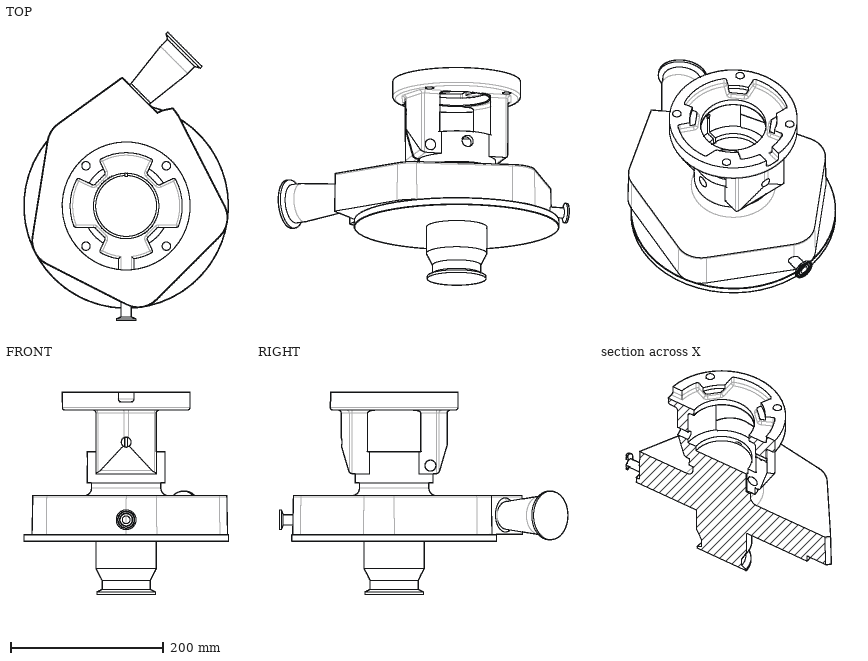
import cadquery as cq
import math


inlet_neck_top = 18.4
inlet_cone_top = 34.2
plate_bottom = 69.5
plate_top = 79.0
housing_top = 130.0
collar_bottom = 146.5
leg_bottom = 158.3
collar_top = 187.7
flange_bottom = 242.0
flange_top = 265.5

ferrule_rim = 3.4
ferrule_height = 6.9
inlet_ferrule_radius = 38.6
inlet_neck_radius = 31.75
inlet_pipe_radius = 39.8

plate_radius = 134.545
plate_chamfer = 0.7
housing_apothem = 114.6
housing_corner_radius = 34.0
housing_rim = 2.0
housing_draft = 1.1
outlet_angle = 45.0
pentagon_step = 72.0
apex_y = 167.8
apex_wall_angle = 215.8
wall_bend_start = (73.0, 108.4)
wall_bend_middle = (67.5, 119.0)
nose_tip = (61.0, 127.6)
notch_shoulder = (47.5, 124.8)
notch_x = 41.0

outlet_offset = 90.9
outlet_face = 115.0
outlet_seat_sink = 10.0
outlet_cone_start = 118.3
outlet_cone_end = 180.0
outlet_end = 199.9
outlet_ferrule_radius = 32.0
outlet_pipe_radius = 25.4
outlet_base_radius = 18.3
outlet_base_half_height = 23.0
outlet_z = 103.8

drain_z = 98.1
drain_end = 150.57
drain_depth = 35.0
drain_pipe_radius = 6.9
drain_bore_radius = 5.1
drain_ferrule_radius = 13.0
drain_rim = 2.5
drain_ferrule_height = 5.0
drain_groove_inner = 8.0
drain_groove_outer = 11.2
drain_groove_depth = 1.2

neck_radius = 45.7
neck_fillet = 9.5
collar_radius = 51.3
collar_bore_radius = 40.0
collar_bore_depth = 8.0
collar_hole_diameter = 15.0
collar_hole_z = 174.5
collar_hole_depth = 10.0

leg_half_width = 39.7
leg_inner_radius = 52.8
leg_nose_y = 69.7
leg_nose_half_width = 2.85
leg_side_y = 58.1
leg_slope_top = 196.0
leg_slope_depth = 9.1
leg_slope_drop = 31.0
leg_edge_fillet = 3.5
leg_bottom_fillet = 6.0
leg_root_fillet = 4.0
leg_root_start = 30.0
leg_root_band = 0.5
leg_hole_diameter = 12.9
leg_hole_z = 200.0
clamp_hole_diameter = 14.2
clamp_hole_y = 47.6
clamp_hole_z = 169.2
clamp_slit_width = 3.2
slit_overlap = 1.0
clamp_slit_top = 217.0
slit_end_hole_diameter = 5.0
slit_end_hole_z = 221.5

flange_radius = 84.0
flange_fillet = 3.5
flange_bore_radius = 43.0
flange_bore_chamfer = 1.2
bolt_hole_diameter = 11.0
bolt_circle_radius = 74.6
pocket_depth = 12.5
pocket_fillet = 3.3
pocket_radius = 70.0
side_pocket_radius = 73.6
slot_width = 20.3
spigot_radius = 57.3
spigot_depth = 6.0
lug_tip = 49.1
lug_tip_half_width = 10.9
lug_flare = math.tan(math.radians(20.0))
lug_reach = 80.0
lower_lug_edge_y = -28.0
lug_corner_fillet = 3.0


def disc(radius, bottom, top):
    return cq.Workplane("XY").workplane(offset=bottom).circle(radius).extrude(top - bottom)


def revolve_profile(points):
    """Solid of revolution about the local Z axis from (radius, height) points."""
    return cq.Workplane("XZ").polyline(points).close().revolve(360, (0, 0), (0, 1))


def make_inlet():
    return revolve_profile([
        (0, 0),
        (inlet_ferrule_radius, 0),
        (inlet_ferrule_radius, ferrule_rim),
        (inlet_neck_radius, ferrule_height),
        (inlet_neck_radius, inlet_neck_top),
        (inlet_pipe_radius, inlet_cone_top),
        (inlet_pipe_radius, plate_bottom),
        (0, plate_bottom),
    ])


def make_plate():
    return disc(plate_radius, plate_bottom, plate_top).edges("%CIRCLE").chamfer(plate_chamfer)


def pentagon_corner(direction):
    """Corner of the regular pentagon that four of the housing walls follow."""
    distance = housing_apothem / math.cos(math.radians(pentagon_step / 2))
    angle = math.radians(direction)
    return (distance * math.cos(angle), distance * math.sin(angle))


def make_housing_rim():
    """Straight top band of the housing with sharp corners, and the corners to round."""
    right = pentagon_corner(-outlet_angle + pentagon_step / 2)
    front = pentagon_corner(-outlet_angle - pentagon_step / 2)
    left = pentagon_corner(-outlet_angle - 1.5 * pentagon_step)

    face_sum = outlet_face * math.sqrt(2)
    apex = (face_sum - apex_y, apex_y)
    notch = (notch_x, face_sum - notch_x)

    left_normal = math.radians(-outlet_angle - 2 * pentagon_step)
    wall = math.radians(apex_wall_angle)
    apex_level = apex[0] * math.cos(left_normal) + apex[1] * math.sin(left_normal)
    travel = (housing_apothem - apex_level) / math.cos(wall - left_normal)
    back = (apex[0] + travel * math.cos(wall), apex[1] + travel * math.sin(wall))

    rim = (
        cq.Workplane("XY").workplane(offset=housing_top)
        .moveTo(*apex)
        .lineTo(*back)
        .lineTo(*left)
        .lineTo(*front)
        .lineTo(*right)
        .lineTo(*wall_bend_start)
        .threePointArc(wall_bend_middle, nose_tip)
        .lineTo(*notch_shoulder)
        .lineTo(*notch)
        .close()
        .extrude(-housing_rim)
    )
    return rim, [back, left, front, right]


def make_housing():
    """Straight rim at the top, with drafted walls widening down to the plate."""
    rim, corners = make_housing_rim()
    for x, y in corners:
        corner = cq.selectors.NearestToPointSelector((x, y, housing_top - housing_rim / 2))
        rim = rim.edges("|Z").edges(corner).fillet(housing_corner_radius)
    wall_height = housing_top - housing_rim - plate_top
    walls = rim.faces("<Z").wires().toPending().workplane().extrude(
        wall_height, taper=-housing_draft, combine=False)
    return rim.union(walls)


def make_outlet():
    """Oval-to-round nozzle on the sloping outlet face, ending in a clamp ferrule."""
    angle = math.radians(outlet_angle)
    along = (math.cos(angle), math.sin(angle))
    across = (-math.sin(angle), math.cos(angle))

    def section(distance):
        origin = (
            distance * along[0] + outlet_offset * across[0],
            distance * along[1] + outlet_offset * across[1],
            outlet_z,
        )
        return cq.Workplane(cq.Plane(origin, xDir=(*across, 0), normal=(*along, 0)))

    seat = section(outlet_face - outlet_seat_sink)
    seat = seat.ellipse(outlet_base_radius, outlet_base_half_height).extrude(outlet_seat_sink)
    base = (
        section(outlet_face).ellipse(outlet_base_radius, outlet_base_half_height)
        .workplane(offset=outlet_cone_start - outlet_face)
        .ellipse(outlet_base_radius, outlet_base_radius)
        .loft(ruled=True)
    )
    cone = (
        section(outlet_cone_start).circle(outlet_base_radius)
        .workplane(offset=outlet_cone_end - outlet_cone_start)
        .circle(outlet_pipe_radius)
        .loft(ruled=True)
    )
    pipe = section(outlet_cone_end).circle(outlet_pipe_radius).extrude(outlet_end - outlet_cone_end)
    rim = section(outlet_end).circle(outlet_ferrule_radius).extrude(-ferrule_rim)
    flare = (
        section(outlet_end - ferrule_rim).circle(outlet_ferrule_radius)
        .workplane(offset=ferrule_rim - ferrule_height).circle(outlet_pipe_radius).loft()
    )
    return seat.union(base).union(cone).union(pipe).union(flare).union(rim)


def make_drain():
    """Small open pipe on the front of the housing, its ferrule grooved for a seal."""
    groove_slope = drain_groove_depth / 2
    profile = [
        (drain_bore_radius, 0),
        (drain_groove_inner, 0),
        (drain_groove_inner + groove_slope, drain_groove_depth),
        (drain_groove_outer - groove_slope, drain_groove_depth),
        (drain_groove_outer, 0),
        (drain_ferrule_radius, 0),
        (drain_ferrule_radius, drain_rim),
        (drain_pipe_radius, drain_ferrule_height),
        (drain_pipe_radius, drain_depth),
        (drain_bore_radius, drain_depth),
    ]
    drain = revolve_profile(profile).rotate((0, 0, 0), (1, 0, 0), -90)
    return drain.translate((0, -drain_end, drain_z))


def make_neck_and_collar():
    """Collar on a narrower neck that flares into the housing top."""
    bend = neck_fillet * (1 - math.sqrt(0.5))
    return (
        cq.Workplane("XZ")
        .moveTo(0, housing_top)
        .lineTo(neck_radius + neck_fillet, housing_top)
        .threePointArc(
            (neck_radius + bend, housing_top + bend),
            (neck_radius, housing_top + neck_fillet))
        .lineTo(neck_radius, collar_bottom)
        .lineTo(collar_radius, collar_bottom)
        .lineTo(collar_radius, collar_top)
        .lineTo(0, collar_top)
        .close()
        .revolve(360, (0, 0), (0, 1))
    )


def make_leg():
    """Front leg: a shallow V in plan, with its lower nose cut away on a slope."""
    leg = (
        cq.Workplane("XY").workplane(offset=leg_bottom)
        .moveTo(-leg_half_width, 0)
        .lineTo(-leg_half_width, -leg_side_y)
        .lineTo(-leg_nose_half_width, -leg_nose_y)
        .lineTo(leg_nose_half_width, -leg_nose_y)
        .lineTo(leg_half_width, -leg_side_y)
        .lineTo(leg_half_width, 0)
        .close()
        .extrude(flange_bottom - leg_bottom)
    )
    slope = leg_slope_depth / leg_slope_drop
    cut_depth = slope * (leg_slope_top - leg_bottom)
    wedge = (
        cq.Workplane("YZ")
        .moveTo(-leg_nose_y, leg_slope_top)
        .lineTo(-leg_nose_y + cut_depth, leg_bottom)
        .lineTo(-leg_nose_y, leg_bottom)
        .close()
        .extrude(leg_half_width, both=True)
    )
    leg = leg.cut(wedge)
    for x in (-leg_half_width, leg_half_width):
        side_edge = cq.selectors.NearestToPointSelector((x, -leg_side_y, (leg_bottom + flange_bottom) / 2))
        leg = leg.edges("|Z").edges(side_edge).fillet(leg_edge_fillet)
    leg = leg.faces("<Z").edges("<Y").fillet(leg_bottom_fillet)
    inside = disc(leg_inner_radius, collar_top, flange_bottom)
    return leg.cut(inside)


def make_flange():
    flange = disc(flange_radius, flange_bottom, flange_top)
    return flange.faces("<Z").edges().fillet(flange_fillet)


def lug_outline(upper):
    """Plan of the lug in the +X half that points at the axis along a diagonal."""
    reach_half_width = lug_tip_half_width + (lug_reach - lug_tip) * lug_flare
    diagonal = math.sqrt(0.5)

    def on_diagonal(along, sideways):
        return ((along - sideways) * diagonal, (along + sideways) * diagonal)

    side_near_x_axis = [
        on_diagonal(lug_reach, -reach_half_width),
        on_diagonal(lug_tip, -lug_tip_half_width),
    ]
    side_near_y_axis = [
        on_diagonal(lug_tip, lug_tip_half_width),
        on_diagonal(lug_reach, reach_half_width),
    ]
    if upper:
        return side_near_x_axis + side_near_y_axis

    level_side = [
        (lug_reach, lower_lug_edge_y),
        (lug_tip / diagonal + lower_lug_edge_y, lower_lug_edge_y),
    ]
    return level_side + [(x, -y) for x, y in side_near_y_axis]


def make_pocket():
    """Recess in the motor flange, leaving a lug around each bolt hole."""
    floor = flange_top - pocket_depth
    pocket = disc(pocket_radius, floor, flange_top)
    sides = disc(side_pocket_radius, floor, flange_top)
    for sign in (1, -1):
        keep_out = (
            cq.Workplane("XY").workplane(offset=floor)
            .polyline([(0, 0), (lug_reach, sign * lug_reach), (-lug_reach, sign * lug_reach)])
            .close().extrude(pocket_depth)
        )
        sides = sides.cut(keep_out)
    pocket = pocket.union(sides)
    for upper in (True, False):
        lug = (
            cq.Workplane("XY").workplane(offset=floor)
            .polyline(lug_outline(upper)).close().extrude(pocket_depth)
        )
        pocket = pocket.cut(lug).cut(lug.mirror("YZ"))
    pocket = pocket.edges("|Z").fillet(lug_corner_fillet)
    slot = (
        cq.Workplane("XY").workplane(offset=floor)
        .center(0, -flange_radius / 2)
        .rect(slot_width, flange_radius + slot_width).extrude(pocket_depth)
    )
    pocket = pocket.union(slot)
    return pocket.faces("<Z").edges().fillet(pocket_fillet)


def cylinder_along(plane, origin, diameter, length):
    return cq.Workplane(plane, origin=origin).circle(diameter / 2).extrude(length)


def cut_flange(body):
    """Pocket, spigot recess, chamfered bore and bolt holes of the motor flange."""
    body = body.cut(make_pocket())
    body = body.cut(disc(spigot_radius, flange_top - spigot_depth, flange_top))
    bore_edge = flange_bore_radius + flange_bore_chamfer
    body = body.cut(revolve_profile([
        (0, flange_bottom),
        (bore_edge, flange_bottom),
        (flange_bore_radius, flange_bottom + flange_bore_chamfer),
        (flange_bore_radius, flange_top),
        (0, flange_top),
    ]))
    step = bolt_circle_radius * math.sqrt(0.5)
    for x in (-step, step):
        for y in (-step, step):
            hole = disc(bolt_hole_diameter / 2, flange_bottom, flange_top)
            body = body.cut(hole.translate((x, y, 0)))
    return body


def cut_collar_and_legs(body):
    """Collar bore and side hole, leg holes, and the clamping slit in the rear leg."""
    body = body.cut(disc(collar_bore_radius, collar_top - collar_bore_depth, collar_top))
    body = body.cut(cylinder_along(
        "YZ", (-collar_radius, 0, collar_hole_z), collar_hole_diameter, collar_hole_depth))
    body = body.cut(cylinder_along(
        "XZ", (0, 0, leg_hole_z), leg_hole_diameter, leg_nose_y))
    body = body.cut(cylinder_along(
        "YZ", (-leg_half_width, clamp_hole_y, clamp_hole_z), clamp_hole_diameter, 2 * leg_half_width))
    slit = cq.Workplane("XY").box(
        clamp_slit_width, leg_nose_y, clamp_slit_top - collar_bottom, centered=(True, False, False))
    body = body.cut(slit.translate((0, collar_bore_radius - slit_overlap, collar_bottom)))
    return body.cut(cylinder_along(
        "XZ", (0, leg_nose_y, slit_end_hole_z), slit_end_hole_diameter, leg_nose_y - flange_bore_radius))


def make_motor_mount():
    """Motor flange and its two legs, with rounded roots where they meet."""
    half = make_flange().union(make_leg())
    roots = cq.selectors.BoxSelector(
        (-flange_radius, -flange_radius, flange_bottom - leg_root_band),
        (flange_radius, -leg_root_start, flange_bottom + leg_root_band))
    half = half.edges(roots).fillet(leg_root_fillet)
    mount = half.union(half.mirror("XZ"))
    return mount


result = make_inlet().union(make_plate()).union(make_housing())
result = result.union(make_outlet()).union(make_drain()).union(make_neck_and_collar())
result = result.union(make_motor_mount())
result = cut_flange(result)
result = cut_collar_and_legs(result)